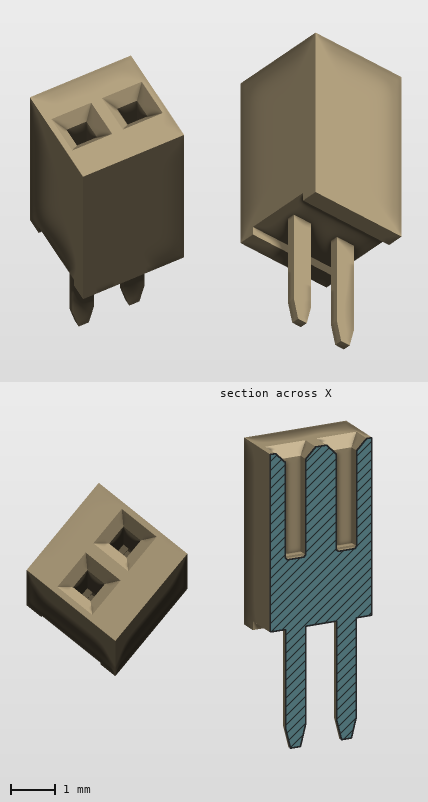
import cadquery as cq

PITCH = 1.27
CONTACT_COUNT = 2
BODY_SIDE = 2.54
BODY_HEIGHT = 4.4
STANDOFF_HEIGHT = 0.21
CHANNEL_WIDTH = BODY_SIDE * 2 / 3

MOUTH_SIDE = 1.0
SOCKET_SIDE = MOUTH_SIDE / 2
LEAD_IN_DEPTH = (MOUTH_SIDE - SOCKET_SIDE) / 2
SOCKET_DEPTH = 2.5

TOTAL_HEIGHT = 7.0
PIN_THICKNESS = 0.2
PIN_WIDTH = 0.51
TIP_WIDTH = PIN_WIDTH / 2
TIP_LENGTH = 0.5
PIN_TAIL = TOTAL_HEIGHT - BODY_HEIGHT

RECESS_FLOOR_LENGTH = 0.41
RECESS_DEPTH = (SOCKET_SIDE - RECESS_FLOOR_LENGTH) / 2

SOCKET_FLOOR_Z = BODY_HEIGHT - SOCKET_DEPTH


def make_housing():
    """Square block, base at Z = 0, with a channel along Y under its base."""
    block = cq.Workplane("XY").box(BODY_SIDE, BODY_SIDE, BODY_HEIGHT, centered=(True, True, False))
    channel = cq.Workplane("XY").box(
        CHANNEL_WIDTH, BODY_SIDE, STANDOFF_HEIGHT, centered=(True, True, False)
    )
    return block.cut(channel)


def make_socket(y):
    """Square socket void with a pyramidal lead-in at its mouth."""
    lead_in = (
        cq.Workplane("XY", origin=(0, y, BODY_HEIGHT))
        .rect(MOUTH_SIDE, MOUTH_SIDE)
        .workplane(offset=-LEAD_IN_DEPTH)
        .rect(SOCKET_SIDE, SOCKET_SIDE)
        .loft(ruled=True)
    )
    shaft = (
        cq.Workplane("XY", origin=(0, y, SOCKET_FLOOR_Z))
        .rect(SOCKET_SIDE, SOCKET_SIDE)
        .extrude(SOCKET_DEPTH - LEAD_IN_DEPTH)
    )
    return lead_in.union(shaft)


def make_pin(y):
    """Flat pin with a tapered tip, running from below the housing up to the channel roof."""
    outline = [
        (y - PIN_WIDTH / 2, STANDOFF_HEIGHT),
        (y - PIN_WIDTH / 2, TIP_LENGTH - PIN_TAIL),
        (y - TIP_WIDTH / 2, -PIN_TAIL),
        (y + TIP_WIDTH / 2, -PIN_TAIL),
        (y + PIN_WIDTH / 2, TIP_LENGTH - PIN_TAIL),
        (y + PIN_WIDTH / 2, STANDOFF_HEIGHT),
    ]
    return cq.Workplane("YZ").polyline(outline).close().extrude(PIN_THICKNESS / 2, both=True)


def make_contact_recess(y):
    """Narrow recess along Y in the socket floor, its ends sloping in from the socket walls."""
    outline = [
        (y - SOCKET_SIDE / 2, SOCKET_FLOOR_Z),
        (y - RECESS_FLOOR_LENGTH / 2, SOCKET_FLOOR_Z - RECESS_DEPTH),
        (y + RECESS_FLOOR_LENGTH / 2, SOCKET_FLOOR_Z - RECESS_DEPTH),
        (y + SOCKET_SIDE / 2, SOCKET_FLOOR_Z),
    ]
    return cq.Workplane("YZ").polyline(outline).close().extrude(PIN_THICKNESS / 2, both=True)


result = make_housing()
for index in range(CONTACT_COUNT):
    contact_y = (index - (CONTACT_COUNT - 1) / 2) * PITCH
    result = result.cut(make_socket(contact_y)).cut(make_contact_recess(contact_y))
    result = result.union(make_pin(contact_y))